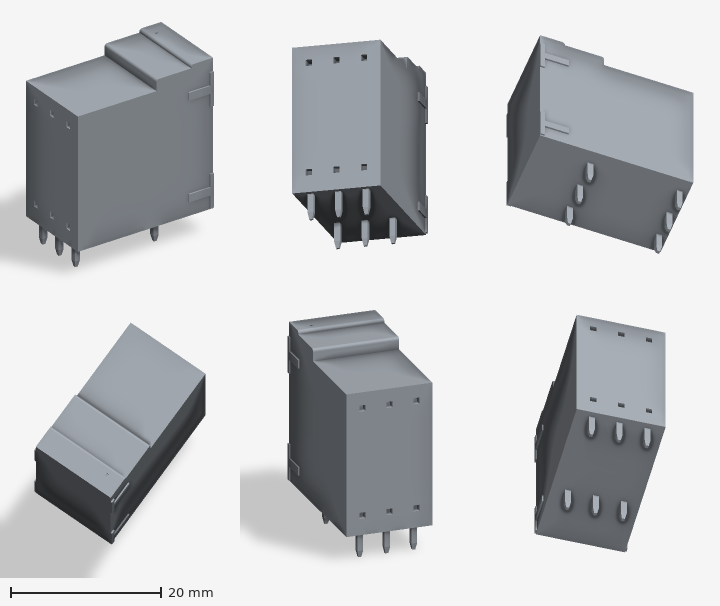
import cadquery as cq

WIDTH = 12.2
DEPTH = 21.8
HEIGHT = 22.7
RIDGE_DEPTH = 3.5
RIDGE_STEP = 0.55
SHOULDER_DEPTH = 9.12
SHOULDER_STEP = 1.73
EDGE_RADIUS = 0.4

COLUMN_PITCH = 3.83
COLUMNS = [-COLUMN_PITCH, 0, COLUMN_PITCH]
LOWER_LEVEL = 2.78
LEVEL_SPACING = 15.33
LEVELS = [LOWER_LEVEL, LOWER_LEVEL + LEVEL_SPACING]

HOLE_SIZE = 0.86

PIN_SIZE = 0.8
PIN_LENGTH = 3.5
PIN_TIP_LENGTH = 0.97
PIN_TIP_SIZE = 0.42
FRONT_PIN_INSET = 1.2
PIN_ROW_SPACING = 12.7
FRONT_ROW = FRONT_PIN_INSET - DEPTH
PIN_ROWS = [FRONT_ROW, FRONT_ROW + PIN_ROW_SPACING]
BEND_RADIUS = 1.0
BEND_DROP = 0.13
HOLE_DEPTH = FRONT_PIN_INSET - PIN_SIZE / 2 + BEND_RADIUS

TAB_THICKNESS = 0.223
TAB_BAR_HEIGHT = 5.2
TAB_BAR_DEPTH = 0.6
TAB_STEM_HEIGHT = 1.2
TAB_REACH = 4.0

MARK_SIZE = 0.52
MARK_CENTER_Y = -2.25
MARK_DEPTH = 0.1


def make_housing():
    """Stepped side profile extruded across the width, both steps rounded."""
    shoulder_top = HEIGHT - RIDGE_STEP
    deck_top = shoulder_top - SHOULDER_STEP
    profile = [
        (0, 0),
        (0, HEIGHT),
        (-RIDGE_DEPTH, HEIGHT),
        (-RIDGE_DEPTH, shoulder_top),
        (-SHOULDER_DEPTH, shoulder_top),
        (-SHOULDER_DEPTH, deck_top),
        (-DEPTH, deck_top),
        (-DEPTH, 0),
    ]
    housing = cq.Workplane("YZ").polyline(profile).close().extrude(WIDTH / 2, both=True)
    for y, z in [(-RIDGE_DEPTH, HEIGHT), (-SHOULDER_DEPTH, shoulder_top)]:
        step_edge = cq.selectors.NearestToPointSelector((0, y, z))
        housing = housing.edges(step_edge).fillet(EDGE_RADIUS)
    return housing


def make_front_holes():
    centers = [(x, z) for x in COLUMNS for z in LEVELS]
    return (
        cq.Workplane("XZ", origin=(0, -DEPTH, 0))
        .pushPoints(centers)
        .rect(HOLE_SIZE, HOLE_SIZE)
        .extrude(-HOLE_DEPTH)
    )


def make_pin(x, y):
    """Square pin below the underside, ending in a tapered tip."""
    shank_length = PIN_LENGTH - PIN_TIP_LENGTH
    shank = cq.Workplane("XY", origin=(x, y, 0)).rect(PIN_SIZE, PIN_SIZE).extrude(-shank_length)
    tip = (
        cq.Workplane("XY", origin=(x, y, -shank_length))
        .rect(PIN_SIZE, PIN_SIZE)
        .workplane(offset=-PIN_TIP_LENGTH)
        .rect(PIN_TIP_SIZE, PIN_TIP_SIZE)
        .loft(ruled=True)
    )
    return shank.union(tip)


def make_bent_pin(x):
    """Upper part of a front pin: rises behind both holes and bends back at the upper one."""
    front = FRONT_ROW - PIN_SIZE / 2
    bend_end = front + BEND_RADIUS
    run_end = bend_end + PIN_SIZE
    top = LEVELS[-1] + HOLE_SIZE / 2 - BEND_DROP
    bend_start = top - BEND_RADIUS
    inner_radius = BEND_RADIUS - PIN_SIZE
    return (
        cq.Workplane("YZ", origin=(x, 0, 0))
        .moveTo(front, 0)
        .lineTo(front, bend_start)
        .radiusArc((bend_end, top), BEND_RADIUS)
        .lineTo(run_end, top)
        .lineTo(run_end, top - PIN_SIZE)
        .lineTo(bend_end, top - PIN_SIZE)
        .radiusArc((front + PIN_SIZE, bend_start), -inner_radius)
        .lineTo(front + PIN_SIZE, 0)
        .close()
        .extrude(PIN_SIZE / 2, both=True)
    )


def make_tabs(z):
    """One T-shaped bar across the whole width; its two ends stand out as the side tabs."""
    span = WIDTH + 2 * TAB_THICKNESS
    bar = cq.Workplane("XY").box(span, TAB_BAR_DEPTH, TAB_BAR_HEIGHT)
    stem = cq.Workplane("XY").box(span, TAB_REACH, TAB_STEM_HEIGHT)
    bar = bar.translate((0, -TAB_BAR_DEPTH / 2, z))
    return bar.union(stem.translate((0, -TAB_REACH / 2, z)))


def make_mark():
    half = MARK_SIZE / 2
    return (
        cq.Workplane("XY", origin=(COLUMNS[0], MARK_CENTER_Y, HEIGHT))
        .polyline([(-half, -half), (half, -half), (0, half)])
        .close()
        .extrude(-MARK_DEPTH)
    )


result = make_housing()
for level in LEVELS:
    result = result.union(make_tabs(level))
result = result.cut(make_front_holes()).cut(make_mark())
for column in COLUMNS:
    result = result.union(make_bent_pin(column))
    for row in PIN_ROWS:
        result = result.union(make_pin(column, row))